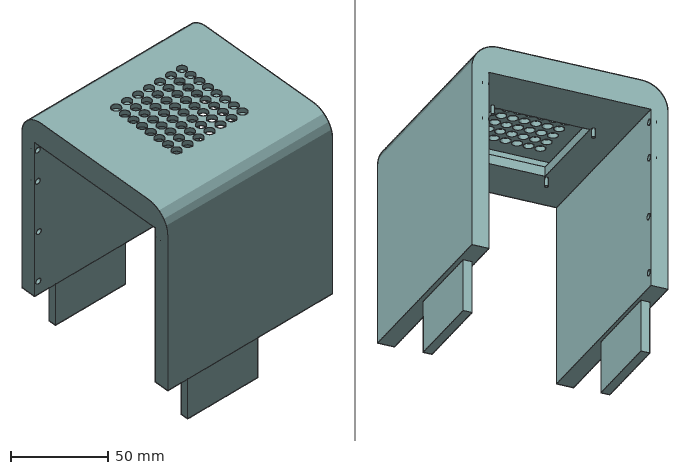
import cadquery as cq

WIDTH = 111.6
DEPTH = 115.0
TOTAL_HEIGHT = 150.0
TAB_LENGTH = 30.0
WALL = 9.8
ROOF = 16.0
CORNER_RADIUS = 15.0

TAB_THICKNESS = 5.1
TAB_DEPTH = 48.9
TAB_FRONT_SETBACK = 16.4
TAB_SIDE_SETBACK = 2.7
TAB_CENTER_X = WIDTH / 2 - TAB_SIDE_SETBACK - TAB_THICKNESS / 2

VENT_DIAMETER = 5.7
VENT_COLUMNS = 8
VENT_ROWS = 7
VENT_PITCH_X = 6.6
VENT_PITCH_Y = 7.6
VENT_CENTER = (-1.2, 2.5)

GRILLE_THICKNESS = 3.0
CHAMBER_CENTER = (-0.6, 2.5)
CHAMBER_SIZE = 69.0
CHAMBER_HEIGHT = 7.5
OPENING_SIZE = 54.6

PIN_DIAMETER = 2.0
PIN_LENGTH = 5.0
PIN_SPACING = 57.3

SIDE_HOLE_DIAMETER = 3.5
SIDE_HOLE_DEPTH = 3.5
SIDE_HOLES = [(2.2, 6.5), (2.2, 27.5), (3.0, 61.8), (2.7, 95.1)]

CEILING_Z = TOTAL_HEIGHT - ROOF
GRILLE_Z = TOTAL_HEIGHT - GRILLE_THICKNESS
INNER_X = WIDTH / 2 - WALL
FRONT_Y = -DEPTH / 2


def box_between(x_center, width, y_min, depth, z_min, height):
    """Box centred in X, placed by its front face and its underside."""
    corner = (x_center - width / 2, y_min, z_min)
    return cq.Workplane("XY").box(width, depth, height, centered=False).translate(corner)


def make_shell():
    """Upside-down U channel with rounded outer top edges."""
    outer = box_between(0, WIDTH, FRONT_Y, DEPTH, TAB_LENGTH, TOTAL_HEIGHT - TAB_LENGTH)
    outer = outer.edges("|Y and >Z").fillet(CORNER_RADIUS)
    cavity = box_between(0, 2 * INNER_X, FRONT_Y, DEPTH, TAB_LENGTH, CEILING_Z - TAB_LENGTH)
    return outer.cut(cavity)


def make_tab(side):
    """Flat tab below one side wall (side is -1 or +1)."""
    return box_between(
        side * TAB_CENTER_X, TAB_THICKNESS, FRONT_Y + TAB_FRONT_SETBACK, TAB_DEPTH, 0, TAB_LENGTH
    )


def make_vents():
    """Grid of round holes through the grille."""
    return (
        cq.Workplane("XY", origin=(*VENT_CENTER, GRILLE_Z))
        .rarray(VENT_PITCH_X, VENT_PITCH_Y, VENT_COLUMNS, VENT_ROWS)
        .circle(VENT_DIAMETER / 2)
        .extrude(GRILLE_THICKNESS)
    )


def make_chamber():
    """Space cut out of the roof below the grille, open to the cavity."""
    upper = (
        cq.Workplane("XY", origin=(*CHAMBER_CENTER, GRILLE_Z))
        .rect(CHAMBER_SIZE, CHAMBER_SIZE)
        .extrude(-CHAMBER_HEIGHT)
    )
    opening = (
        cq.Workplane("XY", origin=(*CHAMBER_CENTER, CEILING_Z))
        .rect(OPENING_SIZE, OPENING_SIZE)
        .extrude(GRILLE_Z - CEILING_Z)
    )
    return upper.union(opening)


def make_pins():
    """Four round pins below the ceiling."""
    return (
        cq.Workplane("XY", origin=(*CHAMBER_CENTER, CEILING_Z))
        .rarray(PIN_SPACING, PIN_SPACING, 2, 2)
        .circle(PIN_DIAMETER / 2)
        .extrude(-PIN_LENGTH)
    )


def make_side_holes(side):
    """Blind holes bored outwards into one side wall (side is -1 or +1)."""
    centers = [(FRONT_Y + setback, CEILING_Z - drop) for setback, drop in SIDE_HOLES]
    return (
        cq.Workplane("YZ", origin=(side * INNER_X, 0, 0))
        .pushPoints(centers)
        .circle(SIDE_HOLE_DIAMETER / 2)
        .extrude(side * SIDE_HOLE_DEPTH)
    )


result = make_shell().cut(make_chamber()).cut(make_vents()).union(make_pins())
for side in (-1, 1):
    result = result.union(make_tab(side)).cut(make_side_holes(side))